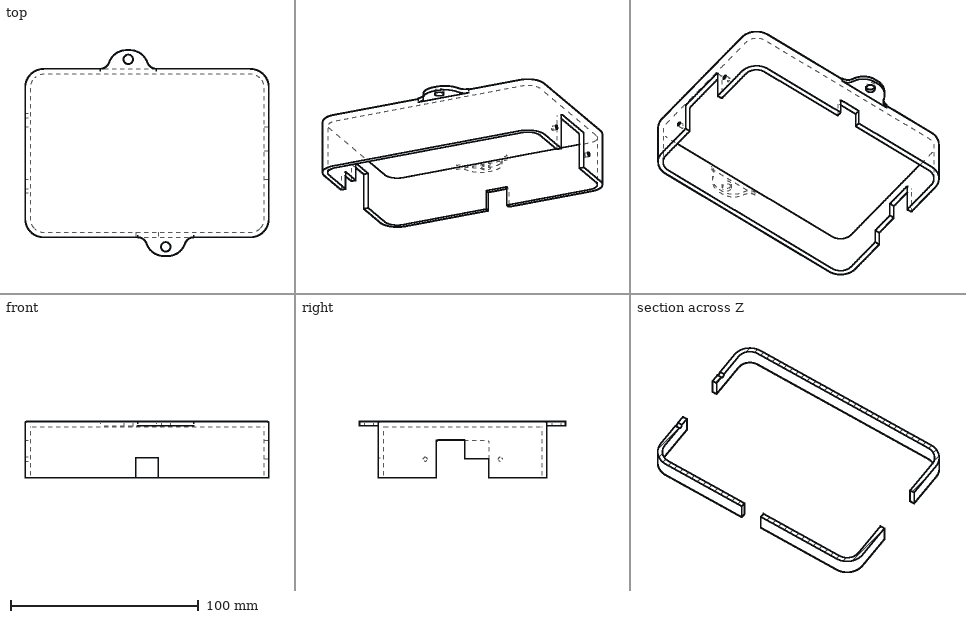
import cadquery as cq
import math

length = 130.0
width = 90.0
height = 30.0
corner_radius = 10.0
wall = 2.7
top_edge_radius = 1.0

tab_half_width = 15.0
tab_reach = 10.0
tab_blend_radius = 5.0
tab_thickness = 2.3
tab_offset = 10.0
tab_hole_diameter = 5.0
tab_hole_reach = tab_reach / 2

end_cutout_width = 28.0
end_cutout_height = 20.0
end_cutout_radius = 1.0
low_cutout_height = 10.0
step_y = 1.2

screw_hole_diameter = 2.2
screw_hole_spacing = 40.0
screw_hole_height = 10.0

notch_width = 12.1
notch_height = 10.7

clearance = 1.3


def make_shell():
    outer = (
        cq.Workplane("XY")
        .rect(length, width)
        .extrude(height)
        .edges("|Z")
        .fillet(corner_radius)
        .faces(">Z")
        .edges()
        .fillet(top_edge_radius)
    )
    cavity = (
        cq.Workplane("XY")
        .rect(length - 2 * wall, width - 2 * wall)
        .extrude(height - wall)
        .edges("|Z")
        .fillet(corner_radius - wall)
    )
    return outer.cut(cavity)


def make_tab():
    """Tab on the +Y side: two rounded shoulders blended into the wall by concave arcs."""
    base_y = width / 2
    tip_y = base_y + tab_reach
    root_y = base_y - wall
    centre_distance = tab_reach + tab_blend_radius
    shoulder_x = tab_half_width - math.sqrt(centre_distance**2 - tab_blend_radius**2)
    blend_angle = math.asin(tab_blend_radius / centre_distance)
    blend_middle_angle = (math.pi / 2 - blend_angle) / 2
    shoulder_middle_angle = (math.pi / 2 + blend_angle) / 2

    def shoulder_point(angle):
        return (shoulder_x + tab_reach * math.cos(angle), base_y + tab_reach * math.sin(angle))

    join = shoulder_point(blend_angle)
    shoulder_middle = shoulder_point(shoulder_middle_angle)
    blend_middle = (
        tab_half_width - tab_blend_radius * math.sin(blend_middle_angle),
        base_y + tab_blend_radius * (1 - math.cos(blend_middle_angle)),
    )

    def mirrored(point):
        return (-point[0], point[1])

    return (
        cq.Workplane("XY", origin=(0, 0, height - tab_thickness))
        .moveTo(tab_half_width, root_y)
        .lineTo(tab_half_width, base_y)
        .threePointArc(blend_middle, join)
        .threePointArc(shoulder_middle, (shoulder_x, tip_y))
        .lineTo(-shoulder_x, tip_y)
        .threePointArc(mirrored(shoulder_middle), mirrored(join))
        .threePointArc(mirrored(blend_middle), (-tab_half_width, base_y))
        .lineTo(-tab_half_width, root_y)
        .close()
        .extrude(tab_thickness)
        .pushPoints([(0, base_y + tab_hole_reach)])
        .circle(tab_hole_diameter / 2)
        .cutThruAll()
        .translate((-tab_offset, 0, 0))
    )


def wall_box(centre_x, depth_x, low_y, high_y, top_z):
    """Cutting box that opens through the rim and reaches up to top_z."""
    return (
        cq.Workplane("XY")
        .box(depth_x, high_y - low_y, top_z + clearance, centered=(True, False, False))
        .translate((centre_x, low_y, -clearance))
    )


end_depth = 2 * (wall + clearance)
end_half = end_cutout_width / 2

near_cutout = (
    wall_box(-length / 2, end_depth, -end_half, end_half, end_cutout_height)
    .edges("|X and >Z")
    .fillet(end_cutout_radius)
)

far_tall_cutout = wall_box(length / 2, end_depth, -end_half, step_y, end_cutout_height)
far_low_cutout = wall_box(length / 2, end_depth, -end_half, end_half, low_cutout_height)

cable_notch = wall_box(0, notch_width, -width / 2 - clearance, -width / 2 + wall + clearance, notch_height)

screw_holes = (
    cq.Workplane("YZ", origin=(-length / 2 - clearance, 0, screw_hole_height))
    .rarray(screw_hole_spacing, 1.3, 2, 1)
    .circle(screw_hole_diameter / 2)
    .extrude(wall + 2 * clearance)
)

back_tab = make_tab()
front_tab = back_tab.rotate((0, 0, 0), (0, 0, 1), 180)

result = make_shell().union(back_tab).union(front_tab)
for cutter in (near_cutout, far_tall_cutout, far_low_cutout, cable_notch, screw_holes):
    result = result.cut(cutter)